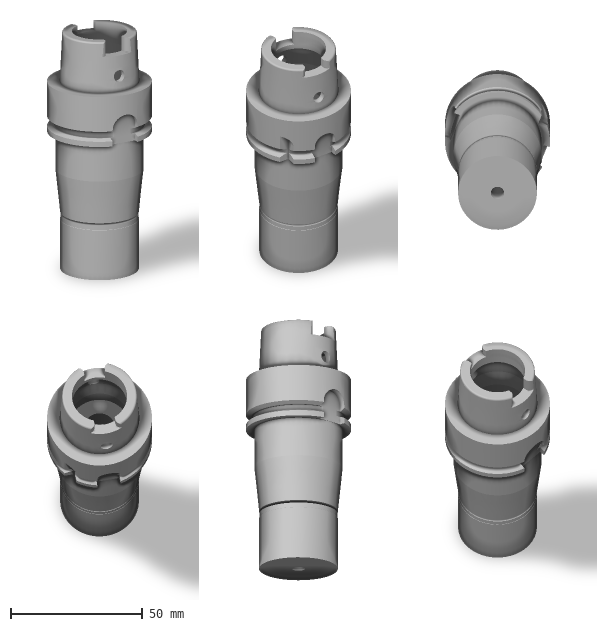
import cadquery as cq
TOTAL_HEIGHT = 95.0
NUT_HEIGHT = 20.0
COLLAR_TOP = 21.85
NECK_TOP = 22.8
WAIST_TOP = 40.1
FLANGE_BOTTOM = 55.0
FLANGE_TOP = 75.05

NUT_RADIUS = 15.0
NUT_CHAMFER = 0.1
COLLAR_RADIUS = NUT_RADIUS - NUT_CHAMFER
NECK_RADIUS = 11.4
SHANK_RADIUS = 16.8
FLANGE_RADIUS = 20.0
TAPER_RATIO = 9.98
TAPER_BASE_RADIUS = 15.2
TAPER_TOP_RADIUS = TAPER_BASE_RADIUS - (TOTAL_HEIGHT - FLANGE_TOP) / (2 * TAPER_RATIO)
RIM_FILLET = 0.8

GROOVE_RADIUS = 17.4
GROOVE_BOTTOM = 57.95
GROOVE_TOP = 60.0
LOWER_LIP_Z = 57.1
LOWER_LIP_RADIUS = 18.2
UPPER_LIP_Z = 61.1
UPPER_LIP_RADIUS = 18.1

SLOT_FLOOR_X = 17.0
SLOT_TOP_Z = 67.1
NARROW_SLOT_WIDTH = 9.0
WIDE_SLOT_WIDTH = 11.0
INDEX_FLOOR_X = 12.3
INDEX_WIDTH = 8.0
INDEX_EDGE_Y = 12.0

NOTCH_WIDTH = 8.1
NOTCH_SHOULDER_X = 13.0
NOTCH_SHOULDER_HALF_WIDTH = 7.6
NOTCH_CORNER_RADIUS = 2.3
LEFT_NOTCH_DEPTH = 3.5
RIGHT_NOTCH_DEPTH = 5.8

BORE_RADIUS = 10.5
LOWER_BORE_RADIUS = 11.6
BORE_DEPTH = 28.5
UNDERCUT_RADIUS = 12.7
UNDERCUT_TOP_DEPTH = 7.8
UNDERCUT_BOTTOM_DEPTH = 16.2
CONE_BOTTOM_DEPTH = 22.8
POCKET_RADIUS = 5.9
POCKET_DEPTH = 9.5
PASSAGE_DIAMETER = 5.0
CROSS_HOLE_DIAMETER = 4.7
CROSS_HOLE_Z = 81.1

PROFILE_PLANE = cq.Plane(origin=(0, 0, 0), xDir=(0, -1, 0), normal=(-1, 0, 0))


def holder_blank():
    """Solid of revolution: collar, neck, waisted shank, grooved flange and taper."""
    return (
        cq.Workplane(PROFILE_PLANE)
        .moveTo(0, NUT_HEIGHT)
        .lineTo(COLLAR_RADIUS, NUT_HEIGHT)
        .lineTo(COLLAR_RADIUS, COLLAR_TOP)
        .lineTo(NECK_RADIUS, COLLAR_TOP)
        .lineTo(NECK_RADIUS, NECK_TOP)
        .lineTo(NUT_RADIUS, NECK_TOP)
        .lineTo(SHANK_RADIUS, WAIST_TOP)
        .lineTo(SHANK_RADIUS, FLANGE_BOTTOM)
        .lineTo(FLANGE_RADIUS, FLANGE_BOTTOM)
        .lineTo(FLANGE_RADIUS, LOWER_LIP_Z)
        .lineTo(LOWER_LIP_RADIUS, GROOVE_BOTTOM)
        .lineTo(GROOVE_RADIUS, GROOVE_BOTTOM)
        .lineTo(GROOVE_RADIUS, GROOVE_TOP)
        .lineTo(UPPER_LIP_RADIUS, GROOVE_TOP)
        .lineTo(FLANGE_RADIUS, UPPER_LIP_Z)
        .lineTo(FLANGE_RADIUS, FLANGE_TOP)
        .lineTo(TAPER_BASE_RADIUS, FLANGE_TOP)
        .lineTo(TAPER_TOP_RADIUS, TOTAL_HEIGHT)
        .lineTo(0, TOTAL_HEIGHT)
        .close()
        .revolve(360, (0, 0, 0), (0, 1, 0))
        .faces(">Z")
        .edges()
        .fillet(RIM_FILLET)
    )


def cavity():
    """Stepped hollow inside the taper: bore, undercut, narrowing cone, lower bore and pocket."""
    undercut_top = TOTAL_HEIGHT - UNDERCUT_TOP_DEPTH
    undercut_bottom = TOTAL_HEIGHT - UNDERCUT_BOTTOM_DEPTH
    cone_bottom = TOTAL_HEIGHT - CONE_BOTTOM_DEPTH
    bore_floor = TOTAL_HEIGHT - BORE_DEPTH
    pocket_floor = bore_floor - POCKET_DEPTH
    return (
        cq.Workplane(PROFILE_PLANE)
        .moveTo(0, TOTAL_HEIGHT)
        .lineTo(BORE_RADIUS, TOTAL_HEIGHT)
        .lineTo(BORE_RADIUS, undercut_top)
        .lineTo(UNDERCUT_RADIUS, undercut_top)
        .lineTo(UNDERCUT_RADIUS, undercut_bottom)
        .lineTo(LOWER_BORE_RADIUS, cone_bottom)
        .lineTo(LOWER_BORE_RADIUS, bore_floor)
        .lineTo(POCKET_RADIUS, bore_floor)
        .lineTo(POCKET_RADIUS, pocket_floor)
        .lineTo(0, pocket_floor)
        .close()
        .revolve(360, (0, 0, 0), (0, 1, 0))
    )


def round_topped_slot(side, width, center_y, floor_x):
    """Cutter for a flat-floored slot with a round top, open below and facing +X or -X."""
    radius = width / 2
    center_z = SLOT_TOP_Z - radius
    top = cq.Workplane("YZ").center(center_y, center_z).circle(radius).extrude(FLANGE_RADIUS - floor_x)
    legs = (
        cq.Workplane("YZ")
        .center(center_y, (FLANGE_BOTTOM + center_z) / 2)
        .rect(width, center_z - FLANGE_BOTTOM)
        .extrude(FLANGE_RADIUS - floor_x)
    )
    offset = floor_x if side > 0 else -FLANGE_RADIUS
    return top.union(legs).translate((offset, 0, 0))


def drive_notch(side, depth):
    """Cutter for a rim notch whose side walls round outward into the shoulders."""
    half_width = NOTCH_WIDTH / 2
    corner = NOTCH_CORNER_RADIUS
    outer_x = FLANGE_RADIUS
    return (
        cq.Workplane("XY")
        .workplane(offset=TOTAL_HEIGHT - depth)
        .moveTo(0, -half_width)
        .lineTo(side * (NOTCH_SHOULDER_X - corner), -half_width)
        .tangentArcPoint((side * NOTCH_SHOULDER_X, -half_width - corner), relative=False)
        .lineTo(side * NOTCH_SHOULDER_X, -NOTCH_SHOULDER_HALF_WIDTH)
        .lineTo(side * outer_x, -NOTCH_SHOULDER_HALF_WIDTH)
        .lineTo(side * outer_x, NOTCH_SHOULDER_HALF_WIDTH)
        .lineTo(side * NOTCH_SHOULDER_X, NOTCH_SHOULDER_HALF_WIDTH)
        .lineTo(side * NOTCH_SHOULDER_X, half_width + corner)
        .tangentArcPoint((side * (NOTCH_SHOULDER_X - corner), half_width), relative=False)
        .lineTo(0, half_width)
        .close()
        .extrude(depth)
    )


def passage():
    """Central passage along the whole axis."""
    return cq.Workplane("XY").circle(PASSAGE_DIAMETER / 2).extrude(TOTAL_HEIGHT)


def cross_hole():
    """Hole along X through both walls of the taper."""
    return (
        cq.Workplane("YZ")
        .center(0, CROSS_HOLE_Z)
        .circle(CROSS_HOLE_DIAMETER / 2)
        .extrude(FLANGE_RADIUS, both=True)
    )


def make_holder():
    """Tool holder with its taper, flange and collar."""
    index_center_y = INDEX_EDGE_Y + INDEX_WIDTH / 2
    return (
        holder_blank()
        .cut(cavity())
        .cut(drive_notch(-1, LEFT_NOTCH_DEPTH))
        .cut(drive_notch(1, RIGHT_NOTCH_DEPTH))
        .cut(round_topped_slot(-1, NARROW_SLOT_WIDTH, 0, SLOT_FLOOR_X))
        .cut(round_topped_slot(1, WIDE_SLOT_WIDTH, 0, SLOT_FLOOR_X))
        .cut(round_topped_slot(-1, INDEX_WIDTH, index_center_y, INDEX_FLOOR_X))
        .cut(cross_hole())
        .cut(passage())
    )


def make_nut():
    """Clamping nut below the collar, with a fine chamfer that ends flush with the collar."""
    return (
        cq.Workplane(PROFILE_PLANE)
        .rect(NUT_RADIUS, NUT_HEIGHT, centered=False)
        .revolve(360, (0, 0, 0), (0, 1, 0))
        .faces(">Z")
        .edges()
        .chamfer(NUT_CHAMFER)
        .cut(passage())
    )


holder = make_holder()
nut = make_nut()
result = cq.Compound.makeCompound([holder.val(), nut.val()])